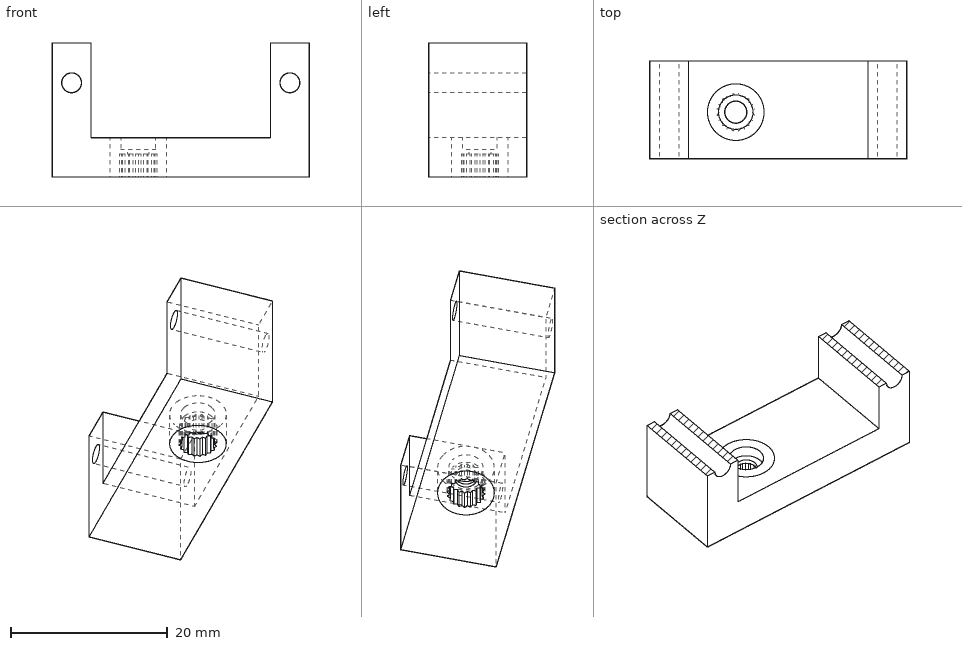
import cadquery as cq
import math

length = 32.8
width = 12.5
height = 17.1
arm_thickness = 5.0
floor_thickness = 5.02
arm_hole_diameter = 2.5
arm_hole_height = 12.0

hub_x = 11.0
hub_y = 5.97
hub_diameter = 7.2
bore_diameter = 2.8
counterbore_diameter = 4.4
counterbore_depth = 1.5

web_thickness = 0.6
socket_depth = floor_thickness - counterbore_depth - web_thickness
tooth_count = 20
crest_diameter = 4.23
root_diameter = 4.82


def make_bracket():
    gap = length - 2 * arm_thickness
    opening = (
        cq.Workplane("XY")
        .box(gap, width, height - floor_thickness, centered=False)
        .translate((arm_thickness, 0, floor_thickness))
    )
    bracket = cq.Workplane("XY").box(length, width, height, centered=False).cut(opening)

    for x in (arm_thickness / 2, length - arm_thickness / 2):
        arm_hole = (
            cq.Workplane("XZ")
            .center(x, arm_hole_height)
            .circle(arm_hole_diameter / 2)
            .extrude(-width)
        )
        bracket = bracket.cut(arm_hole)

    hub_seat = (
        cq.Workplane("XY")
        .center(hub_x, hub_y)
        .circle(hub_diameter / 2)
        .extrude(floor_thickness)
    )
    return bracket.cut(hub_seat)


def make_splined_socket():
    """Socket volume with V-shaped teeth, alternating between crests and roots."""
    half_pitch = math.pi / tooth_count
    outline = []
    for tooth in range(tooth_count):
        crest_angle = 2 * tooth * half_pitch
        root_angle = crest_angle + half_pitch
        for diameter, angle in ((crest_diameter, crest_angle), (root_diameter, root_angle)):
            outline.append((diameter / 2 * math.cos(angle), diameter / 2 * math.sin(angle)))
    return cq.Workplane("XY").polyline(outline).close().extrude(socket_depth)


def make_hub():
    sleeve = (
        cq.Workplane("XY")
        .circle(hub_diameter / 2)
        .circle(bore_diameter / 2)
        .extrude(floor_thickness)
    )
    counterbore = (
        cq.Workplane("XY")
        .workplane(offset=floor_thickness - counterbore_depth)
        .circle(counterbore_diameter / 2)
        .extrude(counterbore_depth)
    )
    hub = sleeve.cut(counterbore).cut(make_splined_socket())
    return hub.translate((hub_x, hub_y, 0))


bracket = make_bracket()
hub = make_hub()
result = cq.Compound.makeCompound([bracket.val(), hub.val()])